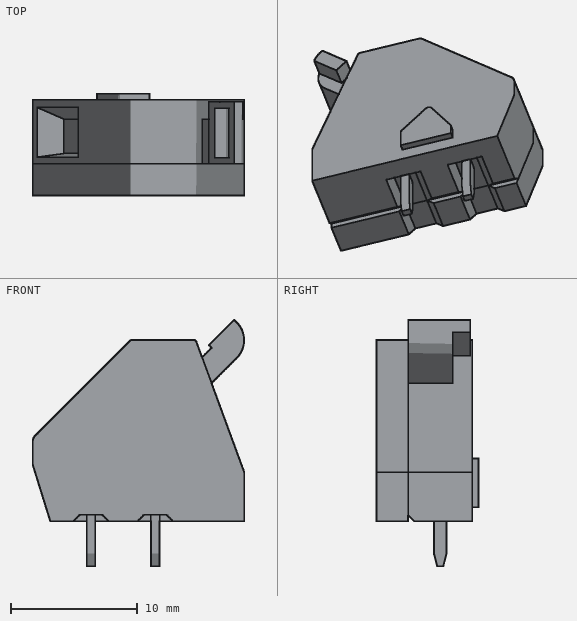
import cadquery as cq
import math


length = 16.75
height = 14.35
front_foot_x = 1.40
front_low_z = 4.50
front_high_z = 6.60
top_back_x = 12.90
back_low_z = 3.87
top_front_x = height - front_high_z
front_high_radius = 0.75
front_low_radius = 0.60
top_front_radius = 0.20
top_back_radius = 0.20

plate_thickness = 2.5
housing_thickness = 5.08
housing_back_y = plate_thickness + housing_thickness
overall_depth = 8.07
joint_chamfer = 0.5

pin_pitch = 5.08
pin_x = [4.62, 4.62 + pin_pitch]
pin_y = plate_thickness + housing_thickness / 2
pin_width = 0.7
pin_breadth = 1.0
pin_tip_breadth = 0.5
pin_length = 3.55
pin_taper = 1.0
pin_root = 0.5

notch_depth = 0.53
notch_top_width = 1.75
notch_bottom_width = 2.85
notch_end_y = pin_y + notch_top_width / 2

funnel_low_x = 0.36
funnel_high_x = 3.60
funnel_near_y = 3.04
funnel_far_y = 6.97
funnel_floor_low_x = 2.47
funnel_floor_high_z = 7.35
funnel_floor_near_y = 3.33
funnel_floor_far_y = 6.05
funnel_high_wall_lean = 17.5

tip_z = 15.94
lever_tip_u = tip_z * math.sqrt(2)
lever_end_face = 0.3
lever_radius = 1.98
lever_underside_v = lever_end_face + lever_radius
lever_arc_u = lever_tip_u - lever_radius
lever_root_u = 17.0
stem_top_v = 0.3
stem_far_y = 6.05
head_length = 2.83
head_overhang_v = 1.2
head_far_y = 7.42

slot_width = 1.55
slot_wall = 0.3
slot_end_gap = 0.62
slot_near_y = 3.0
slot_far_y = 6.92

boss_left_x = 5.08
boss_right_x = 9.26
boss_bottom_z = 1.12
boss_left_z = 2.07
boss_left_slope = 59.5
boss_right_slope = 45.0
boss_top_z = 4.98
boss_radius = 0.3


def prism(outline, y_start, y_end):
    """Extrude a closed outline of (x, z) points from y_start to y_end."""
    sketch = cq.Workplane("XZ", origin=(0, y_start, 0)).polyline(outline).close()
    return sketch.extrude(y_start - y_end)


def near(x, z, solid):
    """Edge of the solid parallel to Y that is nearest to (x, z)."""
    y = solid.val().BoundingBox().center.y
    return solid.edges("|Y").edges(cq.selectors.NearestToPointSelector((x, y, z)))


def block(y_start, y_end):
    """Terminal block profile with its rounded corners."""
    outline = [
        (front_foot_x, 0),
        (length, 0),
        (length, back_low_z),
        (top_back_x, height),
        (top_front_x, height),
        (0, front_high_z),
        (0, front_low_z),
    ]
    solid = prism(outline, y_start, y_end)
    rounds = [
        (top_back_x, height, top_back_radius),
        (top_front_x, height, top_front_radius),
        (0, front_high_z, front_high_radius),
        (0, front_low_z, front_low_radius),
    ]
    for x, z, radius in rounds:
        solid = near(x, z, solid).fillet(radius)
    return solid


def notches():
    """Trapezoidal channels around the pins, running from the plate into the housing."""
    channels = cq.Workplane()
    for x in pin_x:
        outline = [
            (x - notch_bottom_width / 2, 0),
            (x - notch_top_width / 2, notch_depth),
            (x + notch_top_width / 2, notch_depth),
            (x + notch_bottom_width / 2, 0),
        ]
        channels = channels.add(prism(outline, 0, notch_end_y))
    return channels.combine()


def pin(x):
    """Flat solder pin with a tapered tip, rooted in the roof of its notch."""
    outline = [
        (pin_y - pin_breadth / 2, notch_depth + pin_root),
        (pin_y - pin_breadth / 2, pin_taper - pin_length),
        (pin_y - pin_tip_breadth / 2, -pin_length),
        (pin_y + pin_tip_breadth / 2, -pin_length),
        (pin_y + pin_breadth / 2, pin_taper - pin_length),
        (pin_y + pin_breadth / 2, notch_depth + pin_root),
    ]
    sketch = cq.Workplane("YZ", origin=(x - pin_width / 2, 0, 0)).polyline(outline).close()
    return sketch.extrude(pin_width)


def wire_funnel():
    """Tapered funnel whose floor is parallel to the front slope."""
    lean = math.tan(math.radians(funnel_high_wall_lean))
    high_z = front_high_z + funnel_high_x
    floor_high_x = funnel_high_x + (high_z - funnel_floor_high_z) * lean
    floor_low_z = funnel_floor_high_z - (floor_high_x - funnel_floor_low_x)
    mouth_low = (funnel_low_x, front_high_z + funnel_low_x)
    mouth_high = (funnel_high_x, high_z)
    floor_low = (funnel_floor_low_x, floor_low_z)
    floor_high = (floor_high_x, funnel_floor_high_z)

    def rectangle(low, high, near_y, far_y):
        return [
            cq.Vector(low[0], near_y, low[1]),
            cq.Vector(high[0], near_y, high[1]),
            cq.Vector(high[0], far_y, high[1]),
            cq.Vector(low[0], far_y, low[1]),
        ]

    mouth = rectangle(mouth_low, mouth_high, funnel_near_y, funnel_far_y)
    floor = rectangle(floor_low, floor_high, funnel_floor_near_y, funnel_floor_far_y)
    mouth_wire = cq.Wire.makePolygon(mouth, close=True)
    floor_wire = cq.Wire.makePolygon(floor, close=True)
    return cq.Workplane(cq.Solid.makeLoft([mouth_wire, floor_wire], True))


def lever_plane(y):
    """Sketch plane at y with local x along u and local y along -v; extrudes towards -Y."""
    return cq.Workplane(cq.Plane(origin=(0, y, 0), xDir=(1, 0, 1), normal=(0, -1, 0)))


def lever():
    """Lever stem and head, with the wider head overhanging the stem."""
    head_start_u = lever_tip_u - head_length
    arc_mid_u = lever_arc_u + lever_radius * math.cos(math.pi / 4)
    arc_mid_v = lever_end_face + lever_radius * math.sin(math.pi / 4)
    profile = (
        lever_plane(stem_far_y)
        .moveTo(lever_root_u, -stem_top_v)
        .lineTo(head_start_u, -stem_top_v)
        .lineTo(head_start_u, 0)
        .lineTo(lever_tip_u, 0)
        .lineTo(lever_tip_u, -lever_end_face)
        .threePointArc((arc_mid_u, -arc_mid_v), (lever_arc_u, -lever_underside_v))
        .lineTo(lever_root_u, -lever_underside_v)
        .close()
    )
    stem = profile.extrude(stem_far_y - plate_thickness)

    overhang_angle = math.asin((head_overhang_v - lever_end_face) / lever_radius)
    overhang_end_u = lever_arc_u + lever_radius * math.cos(overhang_angle)
    overhang_mid_u = lever_arc_u + lever_radius * math.cos(overhang_angle / 2)
    overhang_mid_v = lever_end_face + lever_radius * math.sin(overhang_angle / 2)
    overhang = (
        lever_plane(head_far_y)
        .moveTo(head_start_u, 0)
        .lineTo(lever_tip_u, 0)
        .lineTo(lever_tip_u, -lever_end_face)
        .threePointArc((overhang_mid_u, -overhang_mid_v), (overhang_end_u, -head_overhang_v))
        .lineTo(head_start_u, -head_overhang_v)
        .close()
        .extrude(head_far_y - plate_thickness)
    )

    slot_high_u = lever_tip_u - slot_end_gap
    slot_low_u = slot_high_u - slot_width
    slot_mid_u = slot_high_u - slot_width / 2
    slot = (
        lever_plane(slot_far_y)
        .moveTo(slot_low_u, 0)
        .lineTo(slot_high_u, 0)
        .lineTo(slot_high_u, -slot_wall)
        .threePointArc((slot_mid_u, -slot_wall - slot_width / 2), (slot_low_u, -slot_wall))
        .close()
        .extrude(slot_far_y - slot_near_y)
    )
    return stem.union(overhang).cut(slot)


def coding_boss():
    """Shallow peaked boss with rounded upper corners."""
    left_rise = math.tan(math.radians(boss_left_slope))
    right_rise = math.tan(math.radians(boss_right_slope))
    half_turn = math.radians(boss_left_slope + boss_right_slope) / 2
    lean = math.radians(boss_left_slope - boss_right_slope) / 2
    peak_z = boss_top_z - boss_radius + boss_radius * math.cos(lean) / math.cos(half_turn)
    peak_x = boss_left_x + (peak_z - boss_left_z) / left_rise
    right_z = peak_z - (boss_right_x - peak_x) * right_rise
    outline = [
        (boss_left_x, boss_bottom_z),
        (boss_left_x, boss_left_z),
        (peak_x, peak_z),
        (boss_right_x, right_z),
        (boss_right_x, boss_bottom_z),
    ]
    solid = prism(outline, housing_back_y, overall_depth)
    for x, z in outline[1:4]:
        solid = near(x, z, solid).fillet(boss_radius)
    return solid


end_plate = block(0, plate_thickness).cut(notches())

housing = block(plate_thickness, housing_back_y)
housing = housing.faces("<Z").edges("<Y").chamfer(joint_chamfer)
housing = housing.cut(notches()).cut(wire_funnel())
housing = housing.union(lever()).union(coding_boss())
for x in pin_x:
    housing = housing.union(pin(x))

result = cq.Compound.makeCompound([end_plate.solids().val(), housing.solids().val()])